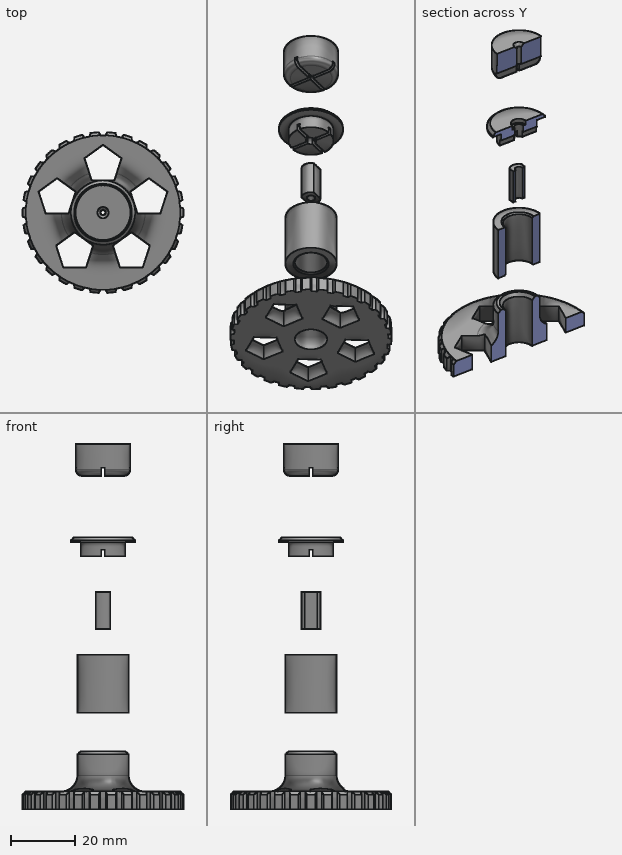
import cadquery as cq
import math


TOTAL_HEIGHT = 113.5
TUBE_BASE = 30.0
PIN_BASE = 56.0
FLANGE_BASE = 78.5

EDGE_CHAMFER = 1.0

WHEEL_DIAMETER = 50.0
DISC_THICKNESS = 5.6
WHEEL_HEIGHT = 18.0
HUB_DIAMETER = 16.0
HUB_BORE = 10.0
HUB_FILLET = 5.0
TOOTH_COUNT = 30
GAP_DEPTH = EDGE_CHAMFER
GAP_FLOOR_WIDTH = 1.6
GAP_MOUTH_WIDTH = 2.7
WINDOW_COUNT = 5
WINDOW_SIDES = 5
WINDOW_PITCH_RADIUS = 15.0
WINDOW_RADIUS = 6.0

TUBE_DIAMETER = HUB_DIAMETER
TUBE_BORE = HUB_BORE
TUBE_HEIGHT = 18.0
TUBE_CHAMFER = 0.5

PIN_DIAMETER = 6.0
PIN_ACROSS_FLATS = 4.5
PIN_BORE = 2.6
PIN_HEIGHT = 11.6

FLANGE_DIAMETER = 20.0
FLANGE_THICKNESS = 1.6
FLANGE_HEIGHT = 6.0
SPIGOT_DIAMETER = 14.0
FLANGE_COUNTERBORE = 5.0
FLANGE_COUNTERBORE_DEPTH = 1.5
FLANGE_HOLE = 3.2
SPIGOT_SLOT_DEPTH = 2.0

CAP_DIAMETER = 17.0
CAP_HEIGHT = 10.0
CAP_FILLET = 2.0
CAP_HOLE = 1.5
CAP_COUNTERSINK = CAP_HOLE + 2 * EDGE_CHAMFER
CAP_SLOT_DEPTH = 2.5
COUNTERSINK_ANGLE = 90

SLOT_WIDTH = 1.0


def cylinder(diameter, height):
    return cq.Workplane("XY").circle(diameter / 2).extrude(height)


def cross_slots(length, depth):
    """Two crossed bars along X and Y, rising from Z = 0."""
    along_x = cq.Workplane("XY").rect(length, SLOT_WIDTH).extrude(depth)
    along_y = cq.Workplane("XY").rect(SLOT_WIDTH, length).extrude(depth)
    return along_x.union(along_y)


def ring_points(count, radius):
    """Evenly spaced points on a circle about the Z axis, the first one on +Y."""
    angles = [math.pi / 2 + 2 * math.pi * i / count for i in range(count)]
    return [(radius * math.cos(angle), radius * math.sin(angle)) for angle in angles]


def tooth_gap():
    """Tapered gap cut at the +X side of the disc, running its full thickness."""
    mouth_radius = WHEEL_DIAMETER / 2
    floor_radius = mouth_radius - GAP_DEPTH
    flare = (GAP_MOUTH_WIDTH - GAP_FLOOR_WIDTH) / 2
    outside = mouth_radius + GAP_DEPTH
    outside_half_width = GAP_MOUTH_WIDTH / 2 + flare
    return (
        cq.Workplane("XY")
        .moveTo(floor_radius, -GAP_FLOOR_WIDTH / 2)
        .lineTo(outside, -outside_half_width)
        .lineTo(outside, outside_half_width)
        .lineTo(floor_radius, GAP_FLOOR_WIDTH / 2)
        .close()
        .extrude(DISC_THICKNESS)
    )


def make_disc():
    """Chamfered disc whose rim is notched into teeth, one of them centred on +X."""
    disc = cylinder(WHEEL_DIAMETER, DISC_THICKNESS).faces(">Z").chamfer(EDGE_CHAMFER)
    tooth_pitch = 360 / TOOTH_COUNT
    first_gap_angle = tooth_pitch / 2
    for i in range(TOOTH_COUNT):
        gap_angle = first_gap_angle + i * tooth_pitch
        disc = disc.cut(tooth_gap().rotate((0, 0, 0), (0, 0, 1), gap_angle))
    return disc


def make_hub():
    """Solid hub that flares into the disc through a concave fillet and is chamfered at the top."""
    hub_radius = HUB_DIAMETER / 2
    flare_radius = hub_radius + HUB_FILLET
    arc_inset = HUB_FILLET * (1 - math.cos(math.pi / 4))
    return (
        cq.Workplane("XZ")
        .lineTo(flare_radius, 0)
        .lineTo(flare_radius, DISC_THICKNESS)
        .threePointArc(
            (hub_radius + arc_inset, DISC_THICKNESS + arc_inset),
            (hub_radius, DISC_THICKNESS + HUB_FILLET),
        )
        .lineTo(hub_radius, WHEEL_HEIGHT - EDGE_CHAMFER)
        .lineTo(hub_radius - EDGE_CHAMFER, WHEEL_HEIGHT)
        .lineTo(0, WHEEL_HEIGHT)
        .close()
        .revolve(360, (0, 0), (0, 1))
    )


def make_wheel():
    wheel = make_disc().union(make_hub())
    window_corners = ring_points(WINDOW_SIDES, WINDOW_RADIUS)
    window = cq.Workplane("XY").polyline(window_corners).close().extrude(WHEEL_HEIGHT)
    for x, y in ring_points(WINDOW_COUNT, WINDOW_PITCH_RADIUS):
        wheel = wheel.cut(window.translate((x, y, 0)))

    wheel = wheel.cut(cylinder(HUB_BORE, WHEEL_HEIGHT))
    bore_rim = wheel.faces(">Z").edges(cq.selectors.RadiusNthSelector(0))
    return bore_rim.chamfer(EDGE_CHAMFER)


def make_tube():
    tube = cylinder(TUBE_DIAMETER, TUBE_HEIGHT).faces(">Z").workplane().hole(TUBE_BORE)
    bore_rims = tube.faces("|Z").edges(cq.selectors.RadiusNthSelector(0))
    return bore_rims.chamfer(TUBE_CHAMFER).translate((0, 0, TUBE_BASE))


def make_pin():
    flats = cq.Workplane("XY").rect(PIN_ACROSS_FLATS, PIN_DIAMETER).extrude(PIN_HEIGHT)
    pin = cylinder(PIN_DIAMETER, PIN_HEIGHT).intersect(flats)
    return pin.cut(cylinder(PIN_BORE, PIN_HEIGHT)).translate((0, 0, PIN_BASE))


def make_flange():
    spigot_height = FLANGE_HEIGHT - FLANGE_THICKNESS
    plate = cylinder(FLANGE_DIAMETER, FLANGE_THICKNESS).faces(">Z").chamfer(EDGE_CHAMFER)
    flange = cylinder(SPIGOT_DIAMETER, spigot_height).union(plate.translate((0, 0, spigot_height)))
    flange = flange.cut(cross_slots(SPIGOT_DIAMETER, SPIGOT_SLOT_DEPTH))
    flange = (
        flange.faces(">Z")
        .workplane()
        .cboreHole(FLANGE_HOLE, FLANGE_COUNTERBORE, FLANGE_COUNTERBORE_DEPTH)
    )
    return flange.translate((0, 0, FLANGE_BASE))


def make_cap():
    cap = cylinder(CAP_DIAMETER, CAP_HEIGHT).faces("<Z").edges().fillet(CAP_FILLET)
    cap = cap.cut(cross_slots(CAP_DIAMETER, CAP_SLOT_DEPTH))
    cap = cap.faces(">Z").workplane().cskHole(CAP_HOLE, CAP_COUNTERSINK, COUNTERSINK_ANGLE)
    return cap.translate((0, 0, TOTAL_HEIGHT - CAP_HEIGHT))


wheel = make_wheel()
tube = make_tube()
pin = make_pin()
flange = make_flange()
cap = make_cap()

result = cq.Compound.makeCompound([wheel.val(), tube.val(), pin.val(), flange.val(), cap.val()])